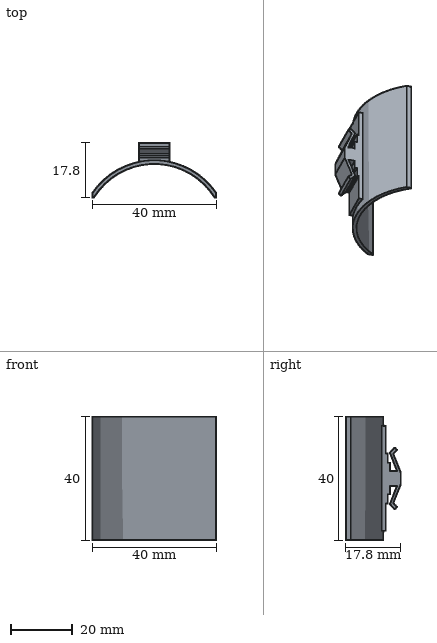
import cadquery as cq
import math

shell_width = 40.0
shell_height = 40.0
inner_radius = 23.0
wall = 1.25
outer_radius = inner_radius + wall
front_y = 12.05
inner_edge_round = 0.5

overall_depth = 17.78
clip_width = 10.0
base_half_height = 17.0
base_depth = 4.8
middle_step_half_height = 8.15
middle_step_depth = 4.2
top_step_half_height = 5.15
top_step_depth = 3.47
stem_half_height = 2.45
back_half_height = 2.0
arm_root_depth = 1.25
knee_outer = (2.4, 8.0)
knee_inner = (3.55, 8.35)
lip_inner_end = (1.95, 10.0)
lip_outer_end = (1.18, 9.22)

half_width = shell_width / 2
inner_half_width = math.sqrt(inner_radius**2 - front_y**2)
outer_edge_y = math.sqrt(outer_radius**2 - half_width**2)
back_y = front_y + overall_depth
sunk_depth = back_y - (inner_radius + wall / 4)


def make_shell():
    """Arc-shaped wall with flat sides and front, its inner front edges rounded."""
    shell = (
        cq.Workplane("XY")
        .moveTo(-half_width, front_y)
        .lineTo(-half_width, outer_edge_y)
        .threePointArc((0, outer_radius), (half_width, outer_edge_y))
        .lineTo(half_width, front_y)
        .lineTo(inner_half_width, front_y)
        .threePointArc((0, inner_radius), (-inner_half_width, front_y))
        .close()
        .extrude(shell_height / 2, both=True)
    )
    for x in (-inner_half_width, inner_half_width):
        inner_edge = cq.selectors.NearestToPointSelector((x, front_y, 0))
        shell = shell.edges("|Z").edges(inner_edge).fillet(inner_edge_round)
    return shell


def make_clip():
    """Stepped base and two bent arms, mirrored about the mid-height."""
    upper_half = [
        (0, back_half_height),
        knee_outer,
        lip_outer_end,
        lip_inner_end,
        knee_inner,
        (arm_root_depth, stem_half_height),
        (top_step_depth, stem_half_height),
        (top_step_depth, top_step_half_height),
        (middle_step_depth, top_step_half_height),
        (middle_step_depth, middle_step_half_height),
        (base_depth, middle_step_half_height),
        (base_depth, base_half_height),
        (sunk_depth, base_half_height),
    ]
    lower_half = [(depth, -height) for depth, height in reversed(upper_half)]
    outline = [(back_y - depth, height) for depth, height in upper_half + lower_half]
    return cq.Workplane("YZ").polyline(outline).close().extrude(clip_width / 2, both=True)


result = make_shell().union(make_clip())